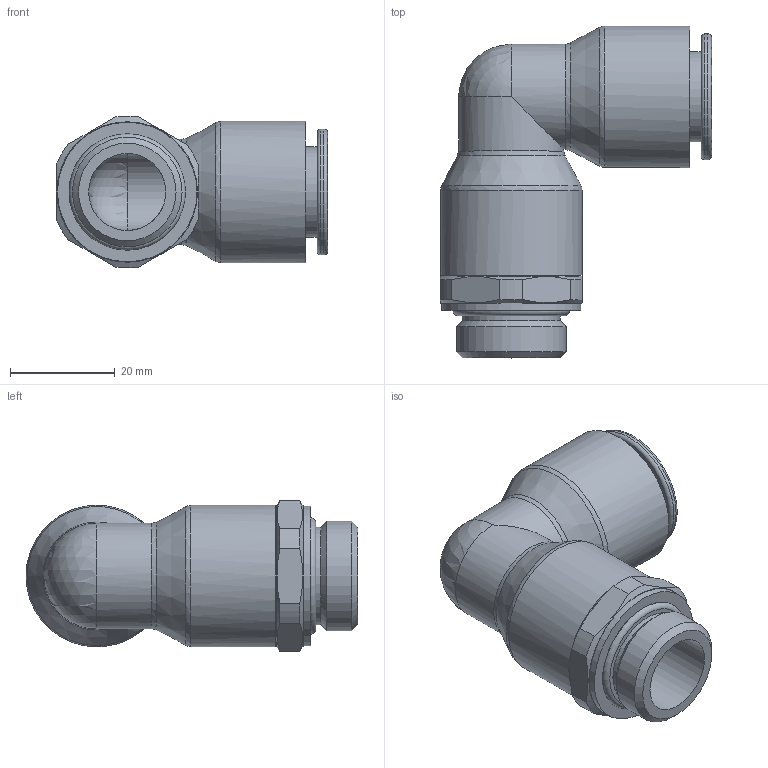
import cadquery as cq
import math

neck_radius = 10.05
barrel_radius = 13.5
barrel_end = 34.05
cone_start = 10.85
cone_half_angle = 28.0
cone_length = (barrel_radius - neck_radius) / math.tan(math.radians(cone_half_angle))
cone_end = cone_start + cone_length
cone_blend_radius = 2.0
bore_radius = 7.35

button_end = 38.2
button_rim_thickness = 2.0
button_rim_start = button_end - button_rim_thickness
button_rim_radius = 12.0
button_rim_fillet = 0.7
button_stem_radius = 8.6

stud_end = 49.8
washer_face_length = 0.2
hex_start = barrel_end + washer_face_length
hex_end = 39.35
hex_across_flats = 27.0
hex_corner_radius = 14.5
hex_face_radius = 13.4
hex_chamfer_angle = 30.0
hex_chamfer_length = (hex_corner_radius - hex_face_radius) * math.tan(math.radians(hex_chamfer_angle))
flange_radius = 13.3
flange_end = 40.75
seal_radius = 11.1
seal_end = 41.75
seal_fillet = 0.95
thread_radius = 10.45
thread_chamfer = 1.15
groove_radius = thread_radius - thread_chamfer
groove_end = 42.7
thread_start = groove_end + thread_chamfer


def turned(profile):
    """Solid of revolution about Y from (radius, distance along -Y) points, closed on the axis."""
    points = [(radius, -distance) for radius, distance in profile]
    return cq.Workplane("XY").polyline(points).close().revolve(360, (0, 0, 0), (0, 1, 0))


def rod(radius, start, end):
    """Plain cylinder along -Y between two distances from the corner."""
    return turned([(0, start), (radius, start), (radius, end), (0, end)])


def circle_centred_at(distance):
    """Selects the circular edge whose centre is on the -Y axis at this distance."""
    return cq.selectors.NearestToPointSelector((0, -distance, 0))


def along_x(solid):
    """Swings a solid built along -Y round to +X."""
    return solid.rotate((0, 0, 0), (0, 0, 1), 90)


def make_arm():
    """Neck, cone and barrel of one arm, with the cone blended at both ends."""
    arm = turned([
        (0, 0),
        (neck_radius, 0),
        (neck_radius, cone_start),
        (barrel_radius, cone_end),
        (barrel_radius, barrel_end),
        (0, barrel_end),
    ])
    for distance in (cone_start, cone_end):
        arm = arm.edges(circle_centred_at(distance)).fillet(cone_blend_radius)
    return arm


def make_button():
    """Stem and rounded rim of the release button."""
    stem = rod(button_stem_radius, barrel_end, button_rim_start)
    rim = rod(button_rim_radius, button_rim_start, button_end)
    rim = rim.edges("%CIRCLE").fillet(button_rim_fillet)
    return stem.union(rim)


def make_elbow():
    """Two equal arms mitred at a ball corner, with a through passage of the same form."""
    arm = make_arm()
    outside = arm.union(along_x(arm.union(make_button())))
    outside = outside.union(cq.Workplane("XY").sphere(neck_radius))
    passage = rod(bore_radius, 0, barrel_end).union(along_x(rod(bore_radius, 0, button_end)))
    passage = passage.union(cq.Workplane("XY").sphere(bore_radius))
    return outside.cut(passage)


def make_hexagon():
    """Hexagon with two flats facing +X and -X, corners turned and chamfered at both ends."""
    across_corners = hex_across_flats / math.cos(math.pi / 6)
    prism = (
        cq.Workplane("XZ", origin=(0, -hex_start, 0))
        .transformed(rotate=(0, 0, 90))
        .polygon(6, across_corners)
        .extrude(hex_end - hex_start)
    )
    envelope = turned([
        (0, hex_start),
        (hex_face_radius, hex_start),
        (hex_corner_radius, hex_start + hex_chamfer_length),
        (hex_corner_radius, hex_end - hex_chamfer_length),
        (hex_face_radius, hex_end),
        (0, hex_end),
    ])
    return prism.intersect(envelope)


def make_stud():
    """Hexagon between a thin land and a flange, then seal ring, relief groove and thread, bored through."""
    washer_face = rod(flange_radius, barrel_end, hex_start)
    flange = rod(flange_radius, hex_end, flange_end)
    seal = rod(seal_radius, flange_end, seal_end)
    seal = seal.edges(circle_centred_at(seal_end)).fillet(seal_fillet)
    thread = turned([
        (0, seal_end),
        (groove_radius, seal_end),
        (groove_radius, groove_end),
        (thread_radius, thread_start),
        (thread_radius, stud_end - thread_chamfer),
        (thread_radius - thread_chamfer, stud_end),
        (0, stud_end),
    ])
    stud = make_hexagon().union(washer_face).union(flange).union(seal).union(thread)
    return stud.cut(rod(bore_radius, barrel_end, stud_end))


elbow = make_elbow()
stud = make_stud()

result = cq.Compound.makeCompound([elbow.val(), stud.val()])